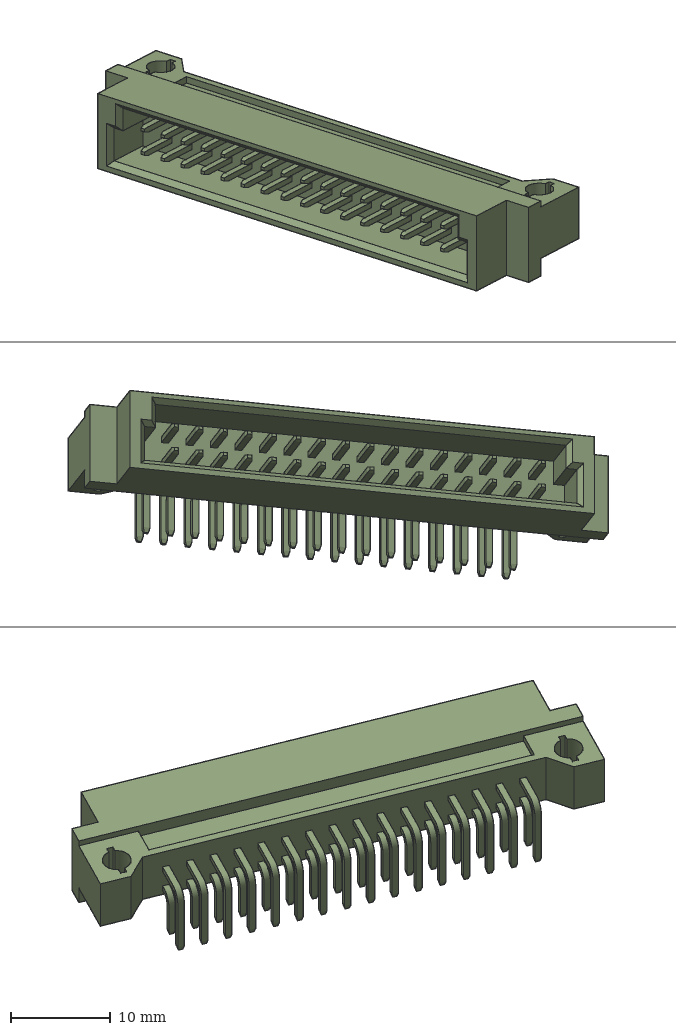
import cadquery as cq


length = 53.85
height = 8.25
shroud_length = 48.25
flange_front = 4.85
flange_back = 6.85

body_bottom = 1.95
body_top = 7.6
body_back = 10.65
ear_back = 13.0
ear_width = 3.3
ear_slope = 2.1

recess_length = 41.15
recess_back = 9.85
recess_depth = 0.7

hole_spacing = shroud_length
hole_y = 10.2
hole_diameter = 2.85
slot_width = 0.65
slot_length = 3.95

cavity_depth = 5.15
cavity_length = 46.0
cavity_bottom = 0.6
cavity_top = 7.75
upper_length = 43.75
step_z = 5.3
flare = 0.55

pin_count = 16
row_length = 38.15
pitch = row_length / (pin_count - 1)
pin_width = 0.7
pin_thickness = 0.6
pin_front = 0.85
pin_bottom = -2.05
upper_row_z = 5.35
back_of_pins = 15.05
tip_length = 0.5
tip_inset = 0.135
bend_radius = 1.0


def block(x_size, y_min, y_max, z_min, z_max):
    """Box centred on X and spanning the given Y and Z ranges."""
    size = (x_size, y_max - y_min, z_max - z_min)
    return cq.Workplane("XY").box(*size, centered=(True, False, False)).translate((0, y_min, z_min))


def make_rear_body():
    """Plate behind the flange whose two ends reach further back as ears."""
    half = length / 2
    ear_inner = half - ear_width
    slope_end = ear_inner - ear_slope
    outline = [
        (-half, flange_front),
        (half, flange_front),
        (half, ear_back),
        (ear_inner, ear_back),
        (slope_end, body_back),
        (-slope_end, body_back),
        (-ear_inner, ear_back),
        (-half, ear_back),
    ]
    plate = cq.Workplane("XY").workplane(offset=body_bottom).polyline(outline).close()
    return plate.extrude(body_top - body_bottom)


def make_mounting_holes():
    """Round through holes with a narrow slot running along Y."""
    centres = [(-hole_spacing / 2, hole_y), (hole_spacing / 2, hole_y)]
    plane = cq.Workplane("XY").pushPoints(centres)
    holes = plane.circle(hole_diameter / 2).extrude(height)
    slots = plane.rect(slot_width, slot_length).extrude(height)
    return holes.union(slots)


def cavity_outline(y, offset):
    """Stepped cavity section at depth y, grown outwards from the straight pocket by the offset."""
    wide = cavity_length / 2 - flare + offset
    narrow = upper_length / 2 - flare + offset
    bottom = cavity_bottom + flare - offset
    step = step_z - flare + offset
    top = cavity_top - flare + offset
    points = [
        (-wide, bottom),
        (wide, bottom),
        (wide, step),
        (narrow, step),
        (narrow, top),
        (-narrow, top),
        (-narrow, step),
        (-wide, step),
    ]
    return cq.Wire.makePolygon([cq.Vector(x, y, z) for x, z in points], close=True)


def make_cavity():
    """Straight stepped pocket plus its flared mouth."""
    mouth = cq.Solid.makeLoft([cavity_outline(0, flare), cavity_outline(flare, 0)], True)
    pocket = cq.Solid.extrudeLinear(cavity_outline(flare, 0), [], cq.Vector(0, cavity_depth - flare, 0))
    return cq.Workplane(mouth).union(cq.Workplane(pocket))


def make_tip(plane, length_along):
    """Tapered pin end, narrowing over the signed length along the plane normal."""
    base = plane.rect(pin_width, pin_thickness).workplane(offset=length_along)
    return base.rect(pin_width - 2 * tip_inset, pin_thickness - 2 * tip_inset).loft(combine=True)


def make_pin(row_z, leg_y):
    """Rectangular pin running back from the cavity, then bent down to its tail."""
    tip_back = pin_front + tip_length
    tail_top = pin_bottom + tip_length
    path = (
        cq.Workplane("YZ")
        .moveTo(tip_back, row_z)
        .lineTo(leg_y - bend_radius, row_z)
        .radiusArc((leg_y, row_z - bend_radius), bend_radius)
        .lineTo(leg_y, tail_top)
    )
    shaft = cq.Workplane("XZ", origin=(0, tip_back, row_z)).rect(pin_width, pin_thickness).sweep(path)
    front_tip = make_tip(cq.Workplane("XZ", origin=(0, tip_back, row_z)), tip_length)
    tail_tip = make_tip(cq.Workplane("XY", origin=(0, leg_y, tail_top)), -tip_length)
    return shaft.union(front_tip).union(tail_tip)


shroud = block(shroud_length, 0, flange_back, 0, height)
flange = block(length, flange_front, flange_back, 0, height)
recess = block(recess_length, flange_back, recess_back, body_top - recess_depth, body_top)

result = shroud.union(flange).union(make_rear_body())
result = result.cut(recess).cut(make_mounting_holes()).cut(make_cavity())

upper_leg_y = back_of_pins - pin_thickness / 2
upper_pin = make_pin(upper_row_z, upper_leg_y)
lower_pin = make_pin(upper_row_z - pitch, upper_leg_y - pitch)
for index in range(pin_count):
    x = index * pitch - row_length / 2
    for pin in (upper_pin, lower_pin):
        result = result.union(pin.translate((x, 0, 0)))